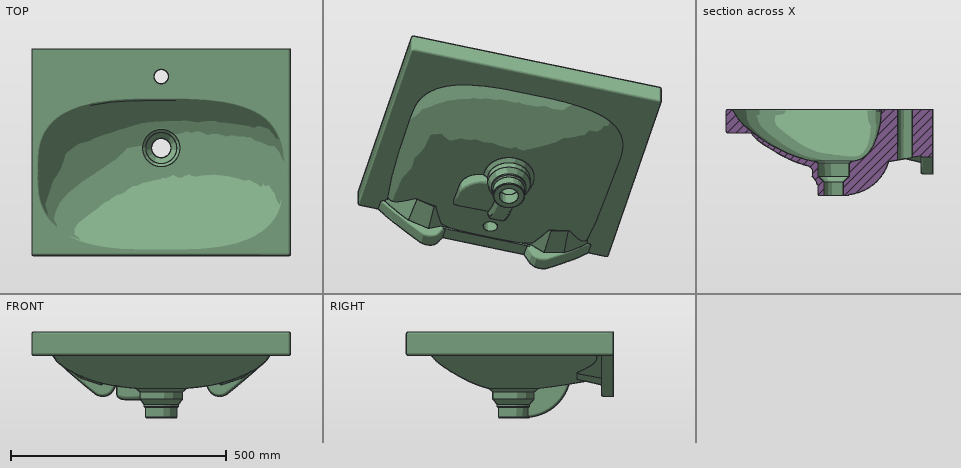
import cadquery as cq
import math

width = 600
depth = 480
height = 200.0
slab_thick = 55.0
slab_round = 5.5

drain_y = -229.5
bowl_ring = 45.0
drain_radius = 43.0
seat_radius = 36
seat_floor = -156
outlet_radius = 22.0
seat_cone_drop = 12
countersink_drop = 5.0
bore_overrun = 6

tap_y = -64.0
tap_radius = 16.5

rim_lip = 4.0
shell_overlap = 3.0
bowl = dict(
    top=0, bottom=-120, half_width=283.5, back=-119.5, front=-463.5, widest=-285.0,
    ring=bowl_ring, bend_side=1.6, bend_back=2, bend_front=1.4,
)
shell = dict(
    top=-slab_thick + shell_overlap, bottom=-131.0, half_width=252, back=204, front=-424.5, widest=-276,
    ring=62.0, bend_side=1.6, bend_back=1.15, bend_front=1.25,
)
rim_squareness = 3
bowl_levels = (0, 0.2, 0.45, 0.7, 0.88, 1)
points_per_quarter = 5

root_top = -48
hidden_root = -111.0
margin = 0.5

plate_thick = 27.5
plate_half_width = 259.0
lug_x = 126
lug_corner = -164.5
lug_inner_x = 98.0
lug_tip_radius = 29.0
lug_round = 5.5
skirt_reach = 84
skirt_half_width = 256.5
skirt_low_x = 138
skirt_inner_x = 108
skirt_bottom = -129.5
skirt_taper = 12

collar_radius = 59.0
flange_radius = 50.0
neck_radius = 40.0
pipe_radius = 36.5
flange_top = -139.0
flange_bottom = -155.5
neck_top = -168
pipe_top = -176.0
pipe_chamfer = 2.0
neck_step = 3.0

duct_side = -103.0
duct_bend_x = -54
duct_front = -222
duct_bottom = -158.0
duct_back = -108
duct_back_bottom = -119.0
duct_round = 9.0
rib_thick = 36
rib_back = -101.0
rib_arc_top = -116.0
rib_arc_end = -194.5
rib_round = 5.0


def signed_power(value, power):
    return math.copysign(abs(value) ** power, value)


def bowl_section(shape, level):
    """Closed outline at a depth fraction: a squarish oval at the rim, a circle at the ring."""
    def spread(bend):
        return (1 - level ** bend) ** (1 / bend)

    ring = shape["ring"]
    half_width = ring + (shape["half_width"] - ring) * spread(shape["bend_side"])
    ring_back = drain_y + ring
    ring_front = drain_y - ring
    back = ring_back + (shape["back"] - ring_back) * spread(shape["bend_back"])
    front = ring_front + (shape["front"] - ring_front) * spread(shape["bend_front"])
    centre = drain_y + (shape["widest"] - drain_y) * spread(shape["bend_side"])
    power = 2 / (2 + (rim_squareness - 2) * spread(shape["bend_side"]))

    points = []
    for step in range(4 * points_per_quarter):
        angle = math.pi / 2 * step / points_per_quarter
        reach = back - centre if step < 2 * points_per_quarter else centre - front
        x = half_width * signed_power(math.cos(angle), power)
        y = centre + reach * signed_power(math.sin(angle), power)
        points.append((x, y))
    z = shape["top"] + (shape["bottom"] - shape["top"]) * level
    outline = cq.Workplane("XY").workplane(offset=z).spline(points, periodic=True).close()
    return outline.val()


def bowl_solid(shape):
    return cq.Workplane(cq.Solid.makeLoft([bowl_section(shape, level) for level in bowl_levels]))


def make_slab():
    slab = cq.Workplane("XY").box(width, depth, slab_thick, centered=(True, False, False))
    slab = slab.translate((0, -depth, -slab_thick))
    return slab.edges("|X and <Y or |Y or (|Z and <Y)").fillet(slab_round)


def make_wall_plate():
    """Plate against the wall: sloping flanks that end in a rounded lug on each side."""
    plate = (
        cq.Workplane("XZ")
        .moveTo(0, root_top)
        .lineTo(plate_half_width, root_top)
        .threePointArc((207.5, -98.5), (lug_x, lug_corner))
        .lineTo(lug_inner_x, hidden_root)
        .lineTo(0, hidden_root)
        .mirrorY()
        .extrude(plate_thick)
    )
    plate = plate.edges("|Y and <Z").fillet(lug_tip_radius)
    for side in (1, -1):
        lug_outline = cq.selectors.BoxSelector(
            (side * lug_inner_x, -plate_thick - margin, lug_corner),
            (side * width / 2, -plate_thick + margin, root_top - margin),
        )
        plate = plate.edges(lug_outline).fillet(lug_round)
    return plate


def make_skirt():
    """Tapering haunch that carries the wall plate into the underside of the basin."""
    skirt = (
        cq.Workplane("XZ")
        .moveTo(0, root_top)
        .lineTo(skirt_half_width, root_top)
        .threePointArc((224.0, -84), (189.5, -113.0))
        .lineTo(skirt_low_x, skirt_bottom)
        .lineTo(skirt_inner_x, hidden_root)
        .lineTo(0, hidden_root)
        .mirrorY()
        .extrude(skirt_reach, taper=skirt_taper)
    )
    return skirt


def make_spigot():
    """Stepped outlet below the basin: flange, neck and pipe."""
    profile = [
        (0, hidden_root),
        (collar_radius, hidden_root),
        (collar_radius, shell["bottom"] - margin),
        (flange_radius, flange_top),
        (flange_radius, flange_bottom),
        (neck_radius, neck_top),
        (neck_radius, pipe_top + neck_step),
        (pipe_radius, pipe_top),
        (pipe_radius, -height + pipe_chamfer),
        (pipe_radius - pipe_chamfer, -height),
        (0, -height),
    ]
    spigot = cq.Workplane("XZ").polyline(profile).close().revolve(360, (0, 0), (0, 1))
    return spigot.translate((0, drain_y, 0))


def make_overflow_duct():
    """Curved box left of the drain, with its floor rising toward the wall."""
    plan = (
        cq.Workplane("XY")
        .workplane(offset=duct_bottom)
        .moveTo(0, duct_front)
        .lineTo(duct_bend_x, duct_front)
        .threePointArc((-90, -205.0), (duct_side, -168))
        .lineTo(duct_side, duct_back)
        .lineTo(0, duct_back)
        .close()
        .extrude(hidden_root - duct_bottom)
    )
    side = (
        cq.Workplane("YZ")
        .moveTo(duct_back, hidden_root)
        .lineTo(duct_back, duct_back_bottom)
        .threePointArc((-150, -146.0), (-204, duct_bottom))
        .lineTo(-depth / 2, duct_bottom)
        .lineTo(-depth / 2, hidden_root)
        .close()
        .extrude(duct_side)
    )
    duct = plan.intersect(side)
    return duct.faces("<X").edges("<Z").fillet(duct_round)


def make_rib():
    """Upright rib behind the spigot, with a curved and rounded rear edge."""
    rib = (
        cq.Workplane("YZ")
        .moveTo(rib_back, hidden_root)
        .lineTo(rib_back, rib_arc_top)
        .threePointArc((-132, -170.0), (rib_arc_end, -height + pipe_chamfer))
        .lineTo(drain_y, -height + pipe_chamfer)
        .lineTo(drain_y, hidden_root)
        .close()
        .extrude(rib_thick / 2, both=True)
    )
    return rib.edges("(<X or >X) and (not |Y) and (not |Z)").fillet(rib_round)


def make_drain_bore():
    """Countersunk seat that narrows through a cone to the outlet."""
    profile = [
        (0, bowl["bottom"] + bore_overrun),
        (drain_radius, bowl["bottom"] + bore_overrun),
        (drain_radius, bowl["bottom"]),
        (seat_radius, bowl["bottom"] - countersink_drop),
        (seat_radius, seat_floor),
        (outlet_radius, seat_floor - seat_cone_drop),
        (outlet_radius, -height),
        (0, -height),
    ]
    bore = cq.Workplane("XZ").polyline(profile).close().revolve(360, (0, 0), (0, 1))
    return bore.translate((0, drain_y, 0))


room = cq.Workplane("XY").box(width, depth, height, centered=(True, False, False))
room = room.translate((0, -depth, -height))
basin = make_slab().union(bowl_solid(shell).intersect(room))
basin = basin.union(make_wall_plate()).union(make_skirt())
basin = basin.union(make_spigot()).union(make_rib()).union(make_overflow_duct())

basin = basin.cut(bowl_solid(bowl)).cut(make_drain_bore())
rim_zone = cq.selectors.BoxSelector(
    (-bowl["half_width"] - 6, bowl["front"] - 6, -margin),
    (bowl["half_width"] + 6, bowl["back"] + 6, margin),
)
basin = basin.edges(rim_zone).fillet(rim_lip)

tap_hole = cq.Workplane("XY").center(0, tap_y).circle(tap_radius).extrude(-height)
result = basin.cut(tap_hole)